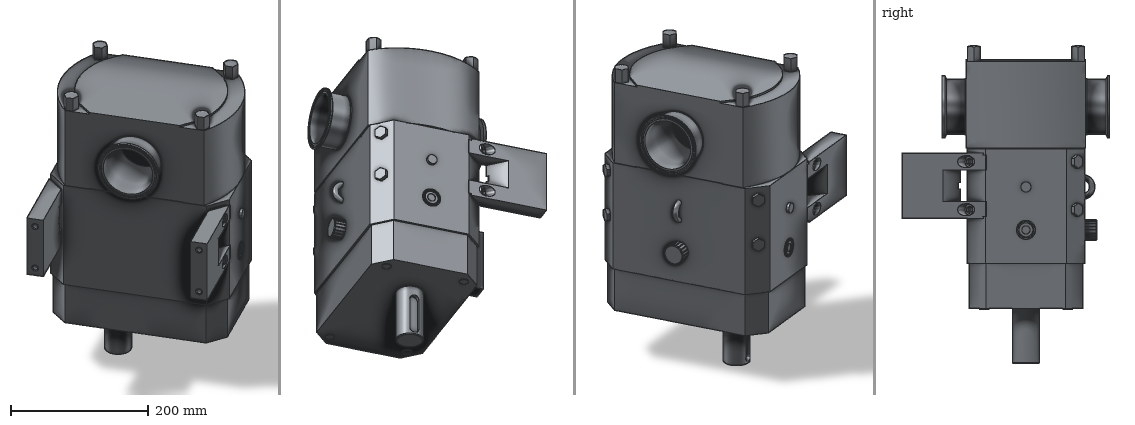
import cadquery as cq
import math

shaft_radius = 20.0
shaft_x = -50.0
shaft_tip_chamfer = 1.5
base_bottom = 80.0
gearbox_bottom = 146.0
gearbox_top = 313.0
head_bottom = 314.5
cover_top = 440.5
cap_top = 443.0
nut_top = 463.5

key_width = 14.0
key_bottom = 3.5
key_top = 66.5
key_depth = 7.0

base_half_x = 132.0
base_half_y = 83.0
base_corner = 25.0
gearbox_half_x = 135.5
gearbox_half_y = 86.0
gearbox_corner = 27.0

foot_radius = 7.0
foot_height = 1.5
foot_x = 111.5
foot_y = 60.7

head_radius = 137.0
head_half_y = 87.0
neck_radius = 111.5
cap_radius = 111.7
cap_corner_distance = 110.0

nut_flats = 19.0
nut_x = 99.0
nut_y = 76.0
nut_dome_height = 2.5

nozzle_z = 374.0
back_nozzle_end = 121.5
front_nozzle_end = 122.5
tube_radius = 40.5
bore_radius = 37.5
bore_depth = 83.5
collar_radius = 41.3
collar_length = 2.0
flange_radius = 45.5
back_flange_rim = 2.5
front_flange_rim = 4.0
flange_taper = 3.0
gasket_inner = 41.0
gasket_outer = 43.0
gasket_depth = 1.0

bracket_outer_x = 137.0
bracket_inner_x = 111.7
bracket_end = 180.5
bracket_z = 259.0
bracket_height = 95.0
pad_thickness = 3.2
pad_inset = 3.0
window_height = 45.5
window_end = 120.5
notch_width = 9.5
notch_depth = 3.0
bolt_spacing = 70.0
tapped_radius = 3.5
tapped_mouth_radius = 5.0
tapped_depth = 14.0
tapped_tip_depth = 2.5

counterbore_radius = 9.0
counterbore_seat = 7.0
socket_head_radius = 8.0
socket_head_top = 15.5
socket_width = 9.5
socket_depth = 4.5
hex_bolt_flats = 17.0
hex_bolt_height = 6.0

plug_radius = 7.5
plug_height = 4.4
plug_z = 257.5
glass_radius = 14.0
glass_x = 137.0
glass_z = 194.5
glass_groove_inner = 10.0
glass_groove_outer = 12.0
glass_recess_radius = 6.0
glass_recess_depth = 1.0

eye_y = 82.5
eye_radius = 14.0
eye_wire_radius = 4.0
knob_radius = 15.5
knob_end = 103.5
knob_chamfer = 1.5
knob_flutes = 18
flute_width = 1.0
flute_depth = 1.0

corner_offset = (gearbox_half_x + gearbox_half_y - gearbox_corner) / math.sqrt(2)
corner_x = gearbox_half_x - gearbox_corner / 2
corner_y = gearbox_half_y - gearbox_corner / 2
corner_bolt_heights = [bracket_z - bolt_spacing / 2, bracket_z + bolt_spacing / 2]
across_corners = 2 / math.sqrt(3)


def cylinder(center, direction, radius, length):
    """Cylinder starting at center and running along direction."""
    return cq.Workplane(cq.Solid.makeCylinder(radius, length, cq.Vector(*center), cq.Vector(*direction)))


def block(half_x, half_y, bottom, top):
    """Box centred on the Z axis between two heights."""
    box = cq.Workplane("XY").workplane(offset=bottom)
    return box.rect(2 * half_x, 2 * half_y).extrude(top - bottom)


def cornered_block(half_x, half_y, corner, bottom, top):
    """Centred block with its four upright edges cut at 45 degrees."""
    return block(half_x, half_y, bottom, top).edges("|Z").chamfer(corner)


def flattened_cylinder(radius, half_y, bottom, top):
    """Cylinder on the Z axis with flats on the +Y and -Y sides."""
    round_body = cylinder((0, 0, bottom), (0, 0, 1), radius, top - bottom)
    return round_body.intersect(block(radius, half_y, bottom, top))


def make_shaft():
    shaft = cylinder((shaft_x, 0, 0), (0, 0, 1), shaft_radius, gearbox_bottom)
    shaft = shaft.faces("<Z").chamfer(shaft_tip_chamfer)
    keyway = (
        cq.Workplane("YZ", origin=(shaft_x - shaft_radius, 0, (key_bottom + key_top) / 2))
        .slot2D(key_top - key_bottom, key_width, 90)
        .extrude(key_depth)
    )
    return shaft.cut(keyway)


def make_housing():
    base = cornered_block(base_half_x, base_half_y, base_corner, base_bottom, gearbox_bottom)
    gearbox = cornered_block(gearbox_half_x, gearbox_half_y, gearbox_corner, gearbox_bottom, gearbox_top)
    feet = (
        cq.Workplane("XY", origin=(0, 0, base_bottom))
        .rect(2 * foot_x, 2 * foot_y, forConstruction=True)
        .vertices()
        .circle(foot_radius)
        .extrude(-foot_height)
    )
    return base.union(gearbox).union(feet)


def make_head():
    neck = flattened_cylinder(neck_radius, gearbox_half_y, gearbox_top, head_bottom)
    body = flattened_cylinder(head_radius, head_half_y, head_bottom, cover_top)
    cap = flattened_cylinder(cap_radius, head_half_y, cover_top, cap_top)
    corner_square = block(cap_corner_distance, cap_corner_distance, cover_top, cap_top)
    cap = cap.intersect(corner_square.rotate((0, 0, 0), (0, 0, 1), 45))
    return neck.union(body).union(cap)


def make_nuts():
    """Hexagon nuts whose domed tops are cut from a sphere reaching down to the nut corners."""
    corner_radius = nut_flats * across_corners / 2
    dome_radius = (corner_radius**2 + nut_dome_height**2) / (2 * nut_dome_height)
    prism = cq.Workplane("XY", origin=(0, 0, cover_top)).polygon(6, 2 * corner_radius)
    dome = cq.Workplane("XY", origin=(0, 0, nut_top - dome_radius)).sphere(dome_radius)
    nut = prism.extrude(nut_top - cover_top).intersect(dome).val()
    corners = cq.Workplane("XY").rect(2 * nut_x, 2 * nut_y, forConstruction=True).vertices()
    return corners.eachpoint(lambda place: nut.moved(place))


def make_nozzle(nozzle_end, flange_rim):
    """Clamp nozzle pointing to +Y, turned about its own axis; radius along X."""
    rim_start = nozzle_end - flange_rim
    return (
        cq.Workplane("XY")
        .lineTo(collar_radius, 0)
        .lineTo(collar_radius, head_half_y + collar_length)
        .lineTo(tube_radius, head_half_y + collar_length)
        .lineTo(tube_radius, rim_start - flange_taper)
        .lineTo(flange_radius, rim_start)
        .lineTo(flange_radius, nozzle_end)
        .lineTo(gasket_outer, nozzle_end)
        .lineTo(gasket_outer, nozzle_end - gasket_depth)
        .lineTo(gasket_inner, nozzle_end - gasket_depth)
        .lineTo(gasket_inner, nozzle_end)
        .lineTo(0, nozzle_end)
        .close()
        .revolve(360, (0, 0, 0), (0, 1, 0))
        .translate((0, 0, nozzle_z))
    )


def make_bore(bore_end):
    """Blind bore from the open end of a nozzle at Y = bore_end into the head."""
    inward = (0, -math.copysign(1, bore_end), 0)
    return cylinder((0, bore_end, nozzle_z), inward, bore_radius, bore_depth)


def bracket_layer(offset, height):
    """Slice of the -X bracket from a plane parallel to the gearbox corner face out to its end."""
    corner_sum = offset * math.sqrt(2)
    return (
        cq.Workplane("XY", origin=(0, 0, bracket_z - height / 2))
        .moveTo(-bracket_outer_x, bracket_outer_x - corner_sum)
        .lineTo(-bracket_inner_x, bracket_inner_x - corner_sum)
        .lineTo(-bracket_inner_x, -bracket_end)
        .lineTo(-bracket_outer_x, -bracket_end)
        .close()
        .extrude(height)
    )


def bracket_bolt_axis(distance, z):
    """Point on a bracket bolt axis at a distance out from the gearbox corner face."""
    step = distance / math.sqrt(2)
    return (-corner_x - step, -corner_y - step, z)


def tapped_hole(x, z):
    """Blind hole with a 45 degree countersink and a drill point, in the end face of a bracket."""
    mouth_depth = tapped_mouth_radius - tapped_radius
    return (
        cq.Workplane("XY")
        .lineTo(tapped_mouth_radius, 0)
        .lineTo(tapped_radius, mouth_depth)
        .lineTo(tapped_radius, tapped_depth)
        .lineTo(0, tapped_depth + tapped_tip_depth)
        .close()
        .revolve(360, (0, 0, 0), (0, 1, 0))
        .translate((x, -bracket_end, z))
    )


def make_bracket():
    """Bracket on the -X side."""
    outward = (-1, -1, 0)
    width = bracket_outer_x - bracket_inner_x
    inner_window_end = window_end - width
    bracket = bracket_layer(corner_offset, bracket_height - 2 * pad_inset)
    bracket = bracket.union(bracket_layer(corner_offset + pad_thickness, bracket_height))
    window = (
        cq.Workplane("XY", origin=(0, 0, bracket_z - window_height / 2))
        .moveTo(-bracket_outer_x, 0)
        .lineTo(-bracket_outer_x, -window_end)
        .lineTo(-bracket_inner_x, -inner_window_end)
        .lineTo(-bracket_inner_x, 0)
        .close()
        .extrude(window_height)
    )
    notch = (
        cq.Workplane("XY", origin=(0, 0, bracket_z - notch_width / 2))
        .moveTo(-bracket_inner_x, -inner_window_end)
        .lineTo(-bracket_inner_x, -inner_window_end - notch_depth)
        .lineTo(-bracket_inner_x - notch_depth, -inner_window_end - notch_depth)
        .close()
        .extrude(notch_width)
    )
    bracket = bracket.cut(window).cut(notch)
    head_length = socket_head_top - counterbore_seat
    middle_x = (bracket_outer_x + bracket_inner_x) / 2
    for z in corner_bolt_heights:
        seat = bracket_bolt_axis(counterbore_seat, z)
        bracket = bracket.cut(cylinder(seat, outward, counterbore_radius, bracket_end))
        bracket = bracket.cut(tapped_hole(-middle_x, z))
        bracket = bracket.union(cylinder(seat, outward, socket_head_radius, head_length))
        head_plane = cq.Plane(bracket_bolt_axis(socket_head_top, z), xDir=(0, 0, 1), normal=outward)
        socket = cq.Workplane(head_plane).polygon(6, socket_width * across_corners).extrude(-socket_depth)
        bracket = bracket.cut(socket)
    return bracket


def make_corner_bolts():
    """Hexagon heads on the -X +Y corner face."""
    heads = cq.Workplane("XY")
    for z in corner_bolt_heights:
        face = cq.Plane((-corner_x, corner_y, z), xDir=(0, 0, 1), normal=(-1, 1, 0))
        head = cq.Workplane(face).polygon(6, hex_bolt_flats * across_corners).extrude(hex_bolt_height)
        heads = heads.add(head)
    return heads.combine()


def make_side_fittings():
    """Plug and sight glass on the -X side."""
    plug = cylinder((-gearbox_half_x, 0, plug_z), (-1, 0, 0), plug_radius, plug_height)
    face = cq.Workplane("YZ", origin=(-glass_x, 0, glass_z))
    glass = face.circle(glass_radius).extrude(glass_x - gearbox_half_x)
    groove = face.circle(glass_groove_outer).circle(glass_groove_inner).extrude(glass_recess_depth)
    recess = face.circle(glass_recess_radius).extrude(glass_recess_depth)
    return plug.union(glass.cut(groove).cut(recess))


def make_lifting_eye():
    ring = cq.Solid.makeTorus(eye_radius, eye_wire_radius, cq.Vector(0, eye_y, plug_z), cq.Vector(1, 0, 0))
    return cq.Workplane(ring)


def make_knob():
    length = knob_end - gearbox_half_y
    knob = cylinder((0, gearbox_half_y, glass_z), (0, 1, 0), knob_radius, length)
    knob = knob.faces(">Y").chamfer(knob_chamfer)
    flutes = (
        cq.Workplane("XZ", origin=(0, gearbox_half_y, glass_z))
        .polarArray(knob_radius, 0, 360, knob_flutes)
        .rect(2 * flute_depth, flute_width)
        .extrude(-length)
    )
    return knob.cut(flutes)


def both_x(part):
    """The part together with its mirror image across the YZ plane."""
    return part.union(part.mirror("YZ"))


result = make_shaft().union(make_housing()).union(make_head())
result = result.union(make_nuts())

result = result.union(make_nozzle(back_nozzle_end, back_flange_rim))
result = result.union(make_nozzle(front_nozzle_end, front_flange_rim).mirror("XZ"))
for bore_end in [back_nozzle_end, -front_nozzle_end]:
    result = result.cut(make_bore(bore_end))

for fitting in [make_bracket(), make_corner_bolts(), make_side_fittings()]:
    result = result.union(both_x(fitting))

result = result.union(make_lifting_eye()).union(make_knob())